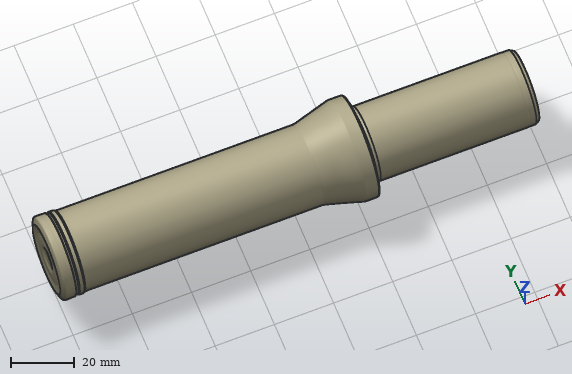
import cadquery as cq
import math


TOTAL_LENGTH = 162.0
SHANK_LENGTH = 56.0
FLANGE_LENGTH = 5.0
FLARE_LENGTH = 11.4
FLARE_LEAD_LENGTH = 1.3
HEAD_LENGTH = 5.42

cutting_radius = 28.0 / 2
tube_radius = 27.0 / 2
flange_radius = 34.0 / 2
shank_radius = 25.0 / 2
rim_radius = 24.5 / 2

FACE_WAVES = [
    (0.62, 0.5),
    (0.60, 2.2),
    (0.62, 3.2),
    (0.25, 4.7),
    (0.22, 5.0),
    (0.25, 6.5),
    (0.30, 7.1),
    (0.45, 8.8),
    (0.30, 10.0),
    (0.00, 11.7),
]
FACE_CENTRE_DEPTH = 0.62
RIM_DEPTH = 0.22
NOSE_RADIUS = 0.8
NOSE_TILT = math.radians(21)
MARGIN_CLEARANCE = 0.05
MARGIN_STEP_START = 2.6
MARGIN_STEP_END = 3.1
GROOVE_START = 4.5
GROOVE_DEPTH = 0.4
GROOVE_WALL_RUN = 0.2

margin_radius = cutting_radius - MARGIN_CLEARANCE
groove_radius = cutting_radius - GROOVE_DEPTH

COLLAR_CLEARANCE = 0.1
COLLAR_END = 7.3
COLLAR_CHAMFER = 0.5
COLLAR_TAPER_END = 9.2
COLLAR_TAPER_RISE = 0.1
COLLAR_LEAD_RUN = 0.4

collar_radius = cutting_radius - COLLAR_CLEARANCE

FLARE_LEAD_RISE = 0.25
FLANGE_EDGE_LENGTH = 0.35
FLANGE_FRONT_DROP = 0.1
FLANGE_BACK_DROP = 0.2
RELIEF_DEPTH = 0.4
RELIEF_LENGTH = 1.0
RELIEF_TAPER_LENGTH = 1.1
SHANK_GROOVE_WIDTH = 1.0
SHANK_GROOVE_DEPTH = 0.1
SHANK_TIP_LENGTH = 2.9
SHANK_TIP_DROP = 0.05
SHANK_CHAMFER_LENGTH = 1.3
SHANK_CHAMFER_DROP = 0.7

flange_back = TOTAL_LENGTH - SHANK_LENGTH
flange_front = flange_back - FLANGE_LENGTH
flare_start = flange_front - FLARE_LENGTH
flare_lead_start = flare_start - FLARE_LEAD_LENGTH
relief_radius = shank_radius - RELIEF_DEPTH
relief_end = flange_back + RELIEF_LENGTH
shank_tip_start = TOTAL_LENGTH - SHANK_TIP_LENGTH
shank_tip_radius = shank_radius - SHANK_TIP_DROP


def turn(profile):
    """Close a half profile, given as (X, radius), and revolve it about the X axis."""
    return profile.close().revolve(360, (0, 0, 0), (1, 0, 0))


def make_head():
    """Cutting head with a wavy face, a rounded outer nose and the front half of the groove."""
    nose_centre_radius = cutting_radius - NOSE_RADIUS
    nose_start_radius = nose_centre_radius + NOSE_RADIUS * math.sin(NOSE_TILT)
    nose_start = RIM_DEPTH + (nose_start_radius - rim_radius) * math.tan(NOSE_TILT)
    nose_end = nose_start + NOSE_RADIUS * math.cos(NOSE_TILT)
    mid_angle = (NOSE_TILT + math.pi / 2) / 2
    nose_middle = (
        nose_end - NOSE_RADIUS * math.cos(mid_angle),
        nose_centre_radius + NOSE_RADIUS * math.sin(mid_angle),
    )
    return turn(
        cq.Workplane("XZ")
        .moveTo(HEAD_LENGTH, 0)
        .lineTo(FACE_CENTRE_DEPTH, 0)
        .polyline(FACE_WAVES, includeCurrent=True)
        .lineTo(RIM_DEPTH, rim_radius)
        .lineTo(nose_start, nose_start_radius)
        .threePointArc(nose_middle, (nose_end, cutting_radius))
        .lineTo(MARGIN_STEP_START, cutting_radius)
        .lineTo(MARGIN_STEP_END, margin_radius)
        .lineTo(GROOVE_START, margin_radius)
        .lineTo(GROOVE_START + GROOVE_WALL_RUN, groove_radius)
        .lineTo(HEAD_LENGTH, groove_radius)
    )


def make_holder():
    """Holder with collar, long tube, flared flange, neck relief and cylindrical shank."""
    return turn(
        cq.Workplane("XZ")
        .moveTo(HEAD_LENGTH, 0)
        .lineTo(HEAD_LENGTH, groove_radius)
        .lineTo(HEAD_LENGTH + COLLAR_LEAD_RUN, collar_radius)
        .lineTo(COLLAR_END, collar_radius)
        .lineTo(COLLAR_END + COLLAR_CHAMFER, tube_radius + COLLAR_TAPER_RISE)
        .lineTo(COLLAR_TAPER_END, tube_radius)
        .lineTo(flare_lead_start, tube_radius)
        .lineTo(flare_start, tube_radius + FLARE_LEAD_RISE)
        .lineTo(flange_front, flange_radius - FLANGE_FRONT_DROP)
        .lineTo(flange_front + FLANGE_EDGE_LENGTH, flange_radius)
        .lineTo(flange_back - FLANGE_EDGE_LENGTH, flange_radius)
        .lineTo(flange_back, flange_radius - FLANGE_BACK_DROP)
        .lineTo(flange_back, relief_radius)
        .lineTo(relief_end, relief_radius)
        .lineTo(relief_end + RELIEF_TAPER_LENGTH, shank_radius)
        .lineTo(shank_tip_start - SHANK_GROOVE_WIDTH, shank_radius)
        .lineTo(shank_tip_start - SHANK_GROOVE_WIDTH / 2, shank_radius - SHANK_GROOVE_DEPTH)
        .lineTo(shank_tip_start, shank_tip_radius)
        .lineTo(TOTAL_LENGTH - SHANK_CHAMFER_LENGTH, shank_tip_radius)
        .lineTo(TOTAL_LENGTH, shank_tip_radius - SHANK_CHAMFER_DROP)
        .lineTo(TOTAL_LENGTH, 0)
    )


head = make_head()
holder = make_holder()

result = cq.Compound.makeCompound([head.val(), holder.val()])